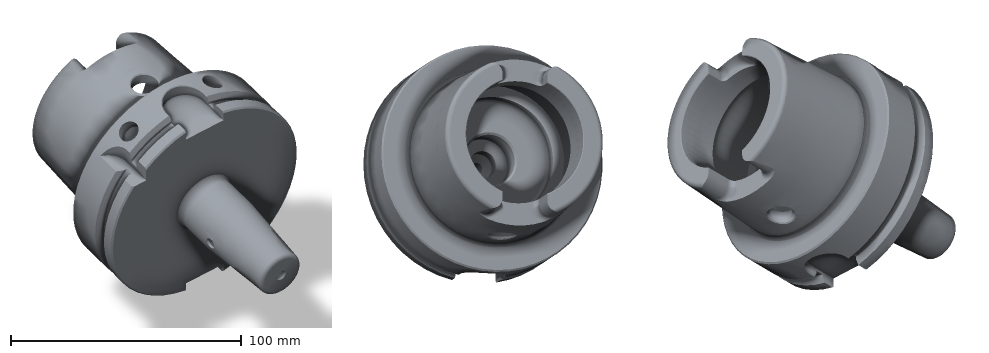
import cadquery as cq
import math


SHANK_START = -50.0
TAPER_GAUGE_X = -10.0
TAPER_GAUGE_RADIUS = 75.1 / 2
TAPER_SLOPE = 1 / (2 * 9.98)
TAPER_END = -2.6
SHANK_FILLET = 2.0
NECK_START = -1.9
NECK_RADIUS = 75.36 / 2
NECK_FILLET_START = -1.2
NECK_FILLET = 1.6

FLANGE_RADIUS = 50.0
FLANGE_WIDTH = 29.0
FLANGE_CHAMFER = 0.7
GROOVE_CENTER = 20.1
GROOVE_FLOOR_WIDTH = 3.7
GROOVE_FLOOR_RADIUS = 46.4
GROOVE_LIP_WIDTH = 6.5
GROOVE_LIP_DEPTH = 2.3

NOSE_END = SHANK_START + 135.09
NOSE_RADIUS = 27.0 / 2
NOSE_TIP_RADIUS = 21.2 / 2
NOSE_FILLET_END = 32.0
NOSE_FILLET = 5.0
NOSE_TAPER_START = 47.1
NOSE_TIP_FILLET = 1.8

MOUTH_RADIUS = 53.0 / 2
MOUTH_CHAMFER = 0.3
MOUTH_END = -30.0
CHAMBER_RADIUS = 63.0 / 2
CHAMBER_END = -3.0
SOCKET_FLOOR = 3.0
SOCKET_FILLET = 1.5
TUBE_LEAD_RADIUS = 24.2 / 2
TUBE_BORE_RADIUS = 22.38 / 2
TUBE_BORE_END = 15.0
POCKET_RADIUS = 12.0 / 2
POCKET_END = 22.0
COOLANT_RADIUS = 5.0 / 2
DRILL_POINT_ANGLE = 59.0

DRIVE_HALF_WIDTH = 10.1
DRIVE_FLARE_Z = 27.4
DRIVE_FLARE_RADIUS = 4.8
DRIVE_FLARE_SWEEP = 110.0
DRIVE_FLOOR_FILLET = 2.4
DRIVE_UPPER_FLOOR = -40.0
DRIVE_LOWER_FLOOR = -35.1

CROSS_HOLE_X = -15.0
CROSS_HOLE_RADIUS = 12.0 / 2
CROSS_HOLE_CHAMFER = 0.5

KEY_RADIUS = 10.0
KEY_CENTER_X = 14.8
KEY_FLOOR = 44.0
KEY_CHAMFER = 0.4
NOTCH_FLOOR = 31.6
NOTCH_WALL_Y = -31.5

RIM_HOLE_X = 9.05
RIM_HOLE_RADIUS = 9.4 / 2
FLAT_HOLE_ANGLE = 22.2
FLAT_HOLE_FLOOR = 44.0
DRILLED_HOLE_ANGLE = -31.7
DRILLED_HOLE_FLOOR = 44.3

SIDE_HOLE_X = 51.1
SIDE_HOLE_RADIUS = 4.92 / 2
SIDE_HOLE_FLOOR = 12.0
SIDE_PILOT_RADIUS = 2.0 / 2
SIDE_PILOT_FLOOR = 11.0

CLEARANCE = 5.0


def taper_radius(x):
    return TAPER_GAUGE_RADIUS + (x - TAPER_GAUGE_X) * TAPER_SLOPE


def revolve_about_x(profile):
    return profile.close().revolve(360, (0, 0, 0), (1, 0, 0))


def make_outer_body():
    """Shank, flange and nose as one turned body."""
    neck_floor = NECK_FILLET_START + NECK_FILLET
    neck_outer = NECK_RADIUS + NECK_FILLET
    neck_mid = NECK_FILLET * math.sqrt(0.5)
    lip_radius = FLANGE_RADIUS - GROOVE_LIP_DEPTH
    groove_left = GROOVE_CENTER - GROOVE_FLOOR_WIDTH / 2
    groove_right = GROOVE_CENTER + GROOVE_FLOOR_WIDTH / 2
    lip_left = GROOVE_CENTER - GROOVE_LIP_WIDTH / 2
    lip_right = GROOVE_CENTER + GROOVE_LIP_WIDTH / 2

    fillet_length = NOSE_FILLET_END - FLANGE_WIDTH

    def nose_fillet_radius(distance):
        return NOSE_RADIUS + NOSE_FILLET - math.sqrt(NOSE_FILLET**2 - distance**2)

    profile = (
        cq.Workplane("XY")
        .moveTo(SHANK_START, 0)
        .lineTo(SHANK_START, taper_radius(SHANK_START))
        .lineTo(TAPER_END, taper_radius(TAPER_END))
        .lineTo(NECK_START, NECK_RADIUS)
        .lineTo(NECK_FILLET_START, NECK_RADIUS)
        .threePointArc(
            (NECK_FILLET_START + neck_mid, neck_outer - neck_mid),
            (neck_floor, neck_outer),
        )
        .lineTo(0, neck_outer)
        .lineTo(0, FLANGE_RADIUS - FLANGE_CHAMFER)
        .lineTo(FLANGE_CHAMFER, FLANGE_RADIUS)
        .lineTo(lip_left, FLANGE_RADIUS)
        .lineTo(groove_left, lip_radius)
        .lineTo(groove_left, GROOVE_FLOOR_RADIUS)
        .lineTo(groove_right, GROOVE_FLOOR_RADIUS)
        .lineTo(groove_right, lip_radius)
        .lineTo(lip_right, FLANGE_RADIUS)
        .lineTo(FLANGE_WIDTH - FLANGE_CHAMFER, FLANGE_RADIUS)
        .lineTo(FLANGE_WIDTH, FLANGE_RADIUS - FLANGE_CHAMFER)
        .lineTo(FLANGE_WIDTH, nose_fillet_radius(fillet_length))
        .threePointArc(
            (NOSE_FILLET_END - fillet_length / 2, nose_fillet_radius(fillet_length / 2)),
            (NOSE_FILLET_END, NOSE_RADIUS),
        )
        .lineTo(NOSE_TAPER_START, NOSE_RADIUS)
        .lineTo(NOSE_END, NOSE_TIP_RADIUS)
        .lineTo(NOSE_END, 0)
    )
    body = revolve_about_x(profile)
    body = body.faces("<X").edges().fillet(SHANK_FILLET)
    return body.faces(">X").edges().fillet(NOSE_TIP_FILLET)


def make_bore():
    """Clamping chamber, coolant tube bore and coolant channel along the axis."""
    fillet_start = SOCKET_FLOOR - SOCKET_FILLET
    fillet_radius = MOUTH_RADIUS - SOCKET_FILLET
    fillet_mid = SOCKET_FILLET * math.sqrt(0.5)
    lead_depth = TUBE_LEAD_RADIUS - TUBE_BORE_RADIUS
    point_length = (POCKET_RADIUS - COOLANT_RADIUS) / math.tan(math.radians(DRILL_POINT_ANGLE))
    profile = (
        cq.Workplane("XY")
        .moveTo(SHANK_START - CLEARANCE, 0)
        .lineTo(SHANK_START - CLEARANCE, MOUTH_RADIUS + MOUTH_CHAMFER)
        .lineTo(SHANK_START, MOUTH_RADIUS + MOUTH_CHAMFER)
        .lineTo(SHANK_START + MOUTH_CHAMFER, MOUTH_RADIUS)
        .lineTo(MOUTH_END, MOUTH_RADIUS)
        .lineTo(MOUTH_END, CHAMBER_RADIUS)
        .lineTo(CHAMBER_END, CHAMBER_RADIUS)
        .lineTo(CHAMBER_END, MOUTH_RADIUS)
        .lineTo(fillet_start, MOUTH_RADIUS)
        .threePointArc(
            (fillet_start + fillet_mid, fillet_radius + fillet_mid),
            (SOCKET_FLOOR, fillet_radius),
        )
        .lineTo(SOCKET_FLOOR, TUBE_LEAD_RADIUS)
        .lineTo(SOCKET_FLOOR + lead_depth, TUBE_BORE_RADIUS)
        .lineTo(TUBE_BORE_END, TUBE_BORE_RADIUS)
        .lineTo(TUBE_BORE_END, POCKET_RADIUS)
        .lineTo(POCKET_END, POCKET_RADIUS)
        .lineTo(POCKET_END + point_length, COOLANT_RADIUS)
        .lineTo(NOSE_END + CLEARANCE, COOLANT_RADIUS)
        .lineTo(NOSE_END + CLEARANCE, 0)
    )
    return revolve_about_x(profile)


def make_drive_slot(floor_x, side):
    """Slot across one wall of the shank; side is +1 for +Z and -1 for -Z."""
    reach = TAPER_GAUGE_RADIUS + CLEARANCE

    def flare_point(sweep):
        angle = math.radians(sweep)
        y = DRIVE_HALF_WIDTH + DRIVE_FLARE_RADIUS * (1 - math.cos(angle))
        z = DRIVE_FLARE_Z + DRIVE_FLARE_RADIUS * math.sin(angle)
        return y, side * z

    flare_mid = flare_point(DRIVE_FLARE_SWEEP / 2)
    flare_end = flare_point(DRIVE_FLARE_SWEEP)
    half_profile = (
        cq.Workplane("YZ", origin=(SHANK_START - CLEARANCE, 0, 0))
        .moveTo(0, 0)
        .lineTo(DRIVE_HALF_WIDTH, 0)
        .lineTo(DRIVE_HALF_WIDTH, side * DRIVE_FLARE_Z)
        .threePointArc(flare_mid, flare_end)
        .lineTo(reach, flare_end[1])
        .lineTo(reach, side * reach)
        .lineTo(0, side * reach)
        .close()
    )
    half = half_profile.extrude(floor_x - SHANK_START + CLEARANCE)
    cutter = half.union(half.mirror("XZ")).clean()
    return cutter.faces(">X").edges().fillet(DRIVE_FLOOR_FILLET)


def make_key_slot(wall_y, floor_z, height):
    """Vertical round-ended slot in the flange, open toward +X, with its inner wall at wall_y."""
    center_y = wall_y - KEY_RADIUS
    length = FLANGE_WIDTH + CLEARANCE - KEY_CENTER_X
    base = cq.Workplane("XY", origin=(KEY_CENTER_X, center_y, floor_z))
    straight = base.rect(2 * length, 2 * KEY_RADIUS).extrude(height)
    straight = straight.intersect(
        base.center(length / 2, 0).rect(length, 2 * KEY_RADIUS).extrude(height)
    )
    return straight.union(base.circle(KEY_RADIUS).extrude(height))


def make_rim_hole(angle, floor_radius, point_length):
    """Radial hole with a bottom cone of the given length; angle runs from +Z toward +Y."""
    hole = (
        cq.Workplane("XZ", origin=(RIM_HOLE_X, 0, 0))
        .moveTo(0, floor_radius - point_length)
        .lineTo(RIM_HOLE_RADIUS, floor_radius)
        .lineTo(RIM_HOLE_RADIUS, FLANGE_RADIUS + CLEARANCE)
        .lineTo(0, FLANGE_RADIUS + CLEARANCE)
        .close()
        .revolve(360, (0, 0, 0), (0, 1, 0))
    )
    return hole.rotate((0, 0, 0), (1, 0, 0), -angle)


def make_cross_hole():
    return (
        cq.Workplane("XY", origin=(CROSS_HOLE_X, 0, -FLANGE_RADIUS))
        .circle(CROSS_HOLE_RADIUS)
        .extrude(2 * FLANGE_RADIUS)
    )


def make_side_hole():
    """Blind stepped hole in the -Y side of the nose."""
    side_plane = cq.Workplane("XZ", origin=(SIDE_HOLE_X, 0, 0))
    pilot = (
        side_plane.workplane(offset=SIDE_PILOT_FLOOR)
        .circle(SIDE_PILOT_RADIUS)
        .extrude(SIDE_HOLE_FLOOR - SIDE_PILOT_FLOOR)
    )
    seat = (
        side_plane.workplane(offset=SIDE_HOLE_FLOOR)
        .circle(SIDE_HOLE_RADIUS)
        .extrude(NOSE_RADIUS + CLEARANCE - SIDE_HOLE_FLOOR)
    )
    return pilot.union(seat)


def chamfer_cross_hole(part):
    """Break the two outer edges of the cross hole."""
    margin = 1.0
    half = CROSS_HOLE_RADIUS + margin
    for side in (1, -1):
        near = (CROSS_HOLE_X - half, -half, side * (CHAMBER_RADIUS + margin))
        far = (CROSS_HOLE_X + half, half, side * FLANGE_RADIUS)
        rim = part.edges(cq.selectors.BoxSelector(near, far, boundingbox=True))
        part = rim.chamfer(CROSS_HOLE_CHAMFER)
    return part


def chamfer_key_slot(part, side):
    """Break the curved rim of a key slot on the left of the groove."""
    near = (0, -KEY_RADIUS - 1, side * (KEY_FLOOR + 1))
    far = (GROOVE_CENTER - GROOVE_FLOOR_WIDTH / 2 - 1, KEY_RADIUS + 1, side * (FLANGE_RADIUS + 1))
    rim = part.edges(cq.selectors.BoxSelector(near, far, boundingbox=True))
    return rim.chamfer(KEY_CHAMFER)


body = make_outer_body().cut(make_bore())
body = body.cut(make_drive_slot(DRIVE_UPPER_FLOOR, 1))
body = body.cut(make_drive_slot(DRIVE_LOWER_FLOOR, -1))
body = chamfer_cross_hole(body.cut(make_cross_hole()))
key_height = FLANGE_RADIUS + CLEARANCE - KEY_FLOOR
body = body.cut(make_key_slot(KEY_RADIUS, KEY_FLOOR, key_height))
body = body.cut(make_key_slot(KEY_RADIUS, -KEY_FLOOR - key_height, key_height))
body = body.cut(make_key_slot(NOTCH_WALL_Y, NOTCH_FLOOR, FLANGE_RADIUS))
drill_point = RIM_HOLE_RADIUS / math.tan(math.radians(DRILL_POINT_ANGLE))
body = body.cut(make_rim_hole(FLAT_HOLE_ANGLE, FLAT_HOLE_FLOOR, 0))
body = body.cut(make_rim_hole(DRILLED_HOLE_ANGLE, DRILLED_HOLE_FLOOR, drill_point))
body = body.cut(make_side_hole())
for key_side in (1, -1):
    body = chamfer_key_slot(body, key_side)

result = body